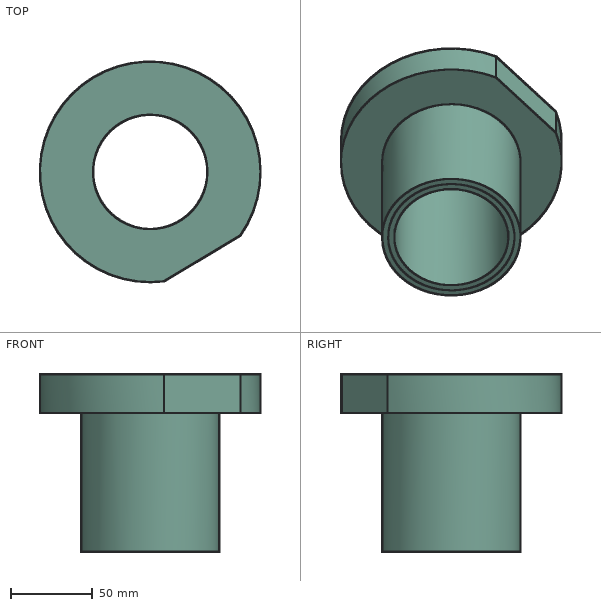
import cadquery as cq

sleeve_outer_diameter = 85.0
sleeve_length = 85.0

bore_diameter = 70.0
flange_diameter = 135.5
flange_thickness = 24.0
flat_distance = 62.0
flat_direction = -59.0

spigot_diameter = (bore_diameter + sleeve_outer_diameter) / 2
total_height = sleeve_length + flange_thickness


def make_cylinder(diameter, base_z, height):
    """Cylinder on the Z axis."""
    return cq.Workplane("XY").workplane(offset=base_z).circle(diameter / 2).extrude(height)


def make_flange():
    """Flange disc with one flat cut on its rim."""
    disc = make_cylinder(flange_diameter, sleeve_length, flange_thickness)
    flat_cutter = (
        cq.Workplane("XY")
        .box(flange_diameter / 2, flange_diameter, flange_thickness, centered=(False, True, False))
        .translate((flat_distance, 0, sleeve_length))
        .rotate((0, 0, 0), (0, 0, 1), flat_direction)
    )
    return disc.cut(flat_cutter)


def make_flanged_bushing():
    """Flange with a spigot below it and one bore through both."""
    spigot = make_cylinder(spigot_diameter, 0, sleeve_length)
    bore = make_cylinder(bore_diameter, 0, total_height)
    return make_flange().union(spigot).cut(bore)


def make_sleeve():
    """Plain tube around the spigot, touching the underside of the flange."""
    outside = make_cylinder(sleeve_outer_diameter, 0, sleeve_length)
    spigot_hole = make_cylinder(spigot_diameter, 0, sleeve_length)
    return outside.cut(spigot_hole)


flanged_bushing = make_flanged_bushing().solids()
sleeve = make_sleeve().solids()

result = cq.Compound.makeCompound([flanged_bushing.val(), sleeve.val()])